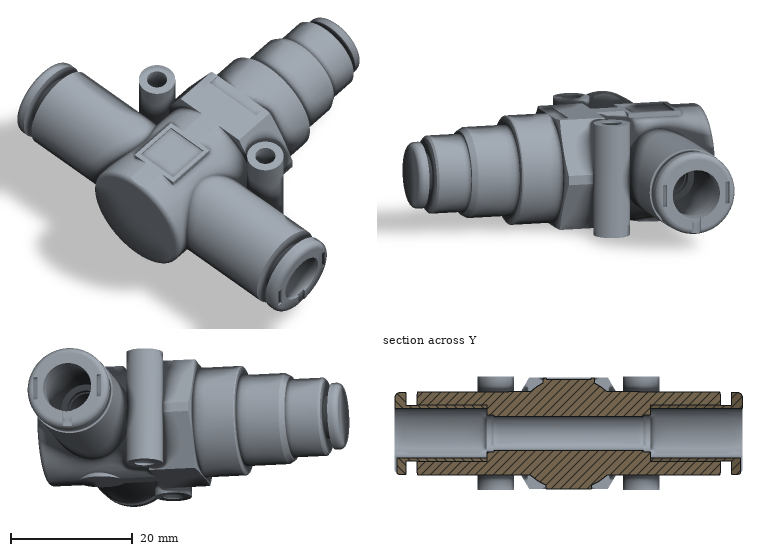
import cadquery as cq
import math

overall_length = 57.3
arm_length = 49.95
arm_diameter = 13.8
arm_end_diameter = 12.5
arm_chamfer_length = 0.05
tube_bore = 8.1
tube_stop_depth = 11.45
stop_bore = 6.0
stop_length = 1.15
flow_bore = 5.55

sleeve_head_diameter = 13.6
sleeve_head_length = 1.95
sleeve_fillet = 1.0
sleeve_neck_diameter = 9.2
key_slot_width = 1.5
key_slot_depth = 0.35
grip_recess_length = 3.65
grip_recess_inner = 5.0
grip_recess_outer = 5.7
grip_recess_depth = 0.45

barrel_diameter = 18.7
barrel_front = -9.05
barrel_fillet = 0.8
height_across_flats = 18.4
hex_front = 9.3
hex_back = 17.1
hex_flat_width = 12.9
hex_width = 23.0
hex_side_height = 1.55
hex_recess_width = 10.2
hex_recess_length = 2.05
hex_recess_depth = 0.2
hex_chamfer_diameter = 20.6
hex_chamfer_length = 0.25

boss_diameter = 6.0
boss_bore = 3.3
boss_height = 18.7
boss_spacing = 23.95
boss_y = 9.6

pad_width = 8.55
pad_length = 9.0
pad_recess_width = 7.15
pad_recess_length = 7.45
pad_recess_depth = 0.3
disc_diameter = 7.6

ring_diameter = 18.05
ring_end = 24.05
ring_chamfer = 0.2
middle_diameter = 15.0
middle_end = 32.1
middle_chamfer_length = 0.9
middle_chamfer_width = 0.5
nose_diameter = 12.9
nose_end = 37.9
nose_chamfer = 0.35
pilot_neck_diameter = 7.2
pilot_head_diameter = 11.0
pilot_head_start = 38.95
pilot_end = 40.6
pilot_fillet = 0.9

flat_z = height_across_flats / 2
stop_x = arm_length / 2 - tube_stop_depth
hex_corner_diameter = math.hypot(hex_width, hex_side_height)


def cylinder_y(diameter, start, end):
    """Cylinder on the Y axis from y = start to y = end."""
    length = end - start
    return cq.Workplane("XZ", origin=(0, start, 0)).circle(diameter / 2).extrude(-length)


def cylinder_x(diameter, start, end):
    """Cylinder on the X axis from x = start to x = end."""
    return cq.Workplane("YZ", origin=(start, 0, 0)).circle(diameter / 2).extrude(end - start)


def block(width, length, bottom, top, y_center=0):
    """Upright block centred on x = 0 between two heights."""
    base = cq.Workplane("XY", origin=(0, y_center, bottom))
    return base.rect(width, length).extrude(top - bottom)


def make_hex():
    half_flat = hex_flat_width / 2
    half_width = hex_width / 2
    half_side = hex_side_height / 2
    upper = [(-half_width, half_side), (-half_flat, flat_z), (half_flat, flat_z), (half_width, half_side)]
    lower = [(-x, -z) for x, z in upper]
    base = cq.Workplane("XZ", origin=(0, hex_front, 0))
    hexagon = base.polyline(upper + lower).close().extrude(hex_front - hex_back)

    turned = cylinder_y(hex_corner_diameter, hex_front, hex_back)
    chamfer_width = (hex_corner_diameter - hex_chamfer_diameter) / 2
    turned = turned.faces(">Y").chamfer(hex_chamfer_length, chamfer_width)

    recess_y = hex_back - hex_recess_length / 2
    recess = block(hex_recess_width, hex_recess_length, flat_z - hex_recess_depth, flat_z, recess_y)
    return hexagon.intersect(turned).cut(recess)


def make_barrel():
    barrel = cylinder_y(barrel_diameter, barrel_front, hex_front).faces("<Y").edges().fillet(barrel_fillet)
    return barrel.intersect(block(barrel_diameter, 2 * hex_back, -flat_z, flat_z))


def make_housing():
    half_arm = arm_length / 2
    arms = cylinder_x(arm_diameter, -half_arm, half_arm)
    arm_chamfer_width = (arm_diameter - arm_end_diameter) / 2
    for end_face in ("<X", ">X"):
        arms = arms.faces(end_face).chamfer(arm_chamfer_length, arm_chamfer_width)
    pad = block(pad_width, pad_length, 0, flat_z)
    disc = cq.Workplane("XY").circle(disc_diameter / 2).extrude(-flat_z)
    boss_points = [(-boss_spacing / 2, boss_y), (boss_spacing / 2, boss_y)]
    boss_plane = cq.Workplane("XY", origin=(0, 0, -boss_height / 2)).pushPoints(boss_points)
    bosses = boss_plane.circle(boss_diameter / 2).extrude(boss_height)
    boss_holes = boss_plane.circle(boss_bore / 2).extrude(boss_height)

    housing = make_barrel().union(arms).union(make_hex()).union(pad).union(disc).union(bosses)
    housing = housing.cut(boss_holes)
    housing = housing.cut(block(pad_recess_width, pad_recess_length, flat_z - pad_recess_depth, flat_z))

    passage_x = stop_x - stop_length
    housing = housing.cut(cylinder_x(flow_bore, -half_arm, half_arm))
    for side in (-1, 1):
        housing = housing.cut(cylinder_x(sleeve_neck_diameter, side * stop_x, side * half_arm))
        housing = housing.cut(cylinder_x(stop_bore, side * passage_x, side * stop_x))
    return housing


def make_release_sleeve():
    """Release sleeve of the -X arm, reaching in to the tube stop."""
    outer_x = -overall_length / 2
    head_x = outer_x + sleeve_head_length
    head = cylinder_x(sleeve_head_diameter, outer_x, head_x).faces("<X").edges().fillet(sleeve_fillet)
    sleeve = head.union(cylinder_x(sleeve_neck_diameter, head_x, -stop_x))
    sleeve = sleeve.cut(cylinder_x(tube_bore, outer_x, -stop_x))

    face = cq.Workplane("YZ", origin=(outer_x, 0, 0))
    slot_length = sleeve_head_diameter / 2
    slot = face.center(0, -slot_length / 2).rect(key_slot_width, slot_length).extrude(key_slot_depth)
    recess_width = grip_recess_outer - grip_recess_inner
    recess_y = (grip_recess_outer + grip_recess_inner) / 2
    recesses = face.pushPoints([(-recess_y, 0), (recess_y, 0)])
    recesses = recesses.rect(recess_width, grip_recess_length).extrude(grip_recess_depth)
    return sleeve.cut(slot).cut(recesses)


def make_bonnet():
    ring = cylinder_y(ring_diameter, hex_back, ring_end).faces(">Y").edges().chamfer(ring_chamfer)
    middle = cylinder_y(middle_diameter, ring_end, middle_end)
    middle = middle.faces(">Y").chamfer(middle_chamfer_length, middle_chamfer_width)
    nose = cylinder_y(nose_diameter, middle_end, nose_end).faces(">Y").edges().chamfer(nose_chamfer)
    return ring.union(middle).union(nose)


def make_pilot_sleeve():
    neck = cylinder_y(pilot_neck_diameter, nose_end, pilot_head_start)
    head = cylinder_y(pilot_head_diameter, pilot_head_start, pilot_end)
    return neck.union(head.faces(">Y").edges().fillet(pilot_fillet))


housing = make_housing()
bonnet = make_bonnet()
pilot_sleeve = make_pilot_sleeve()

left_sleeve = make_release_sleeve().val()
release_sleeves = [left_sleeve, left_sleeve.mirror("YZ")]

result = cq.Compound.makeCompound([housing.val(), bonnet.val(), pilot_sleeve.val(), *release_sleeves])